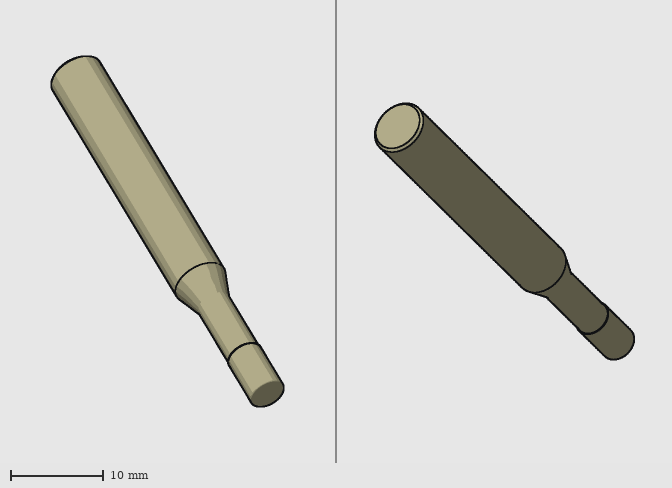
import cadquery as cq

total_length = 50.0
shank_radius = 3.0
shank_chamfer = 0.3
neck_radius = 1.9
tip_radius = 2.0
tip_length = 6.0
tip_corner_radius = 0.2
neck_length = 8.0
taper_length = 3.45

tip_start = total_length - tip_length
neck_start = tip_start - neck_length
taper_start = neck_start - taper_length

profile = (
    cq.Workplane("XY")
    .moveTo(0, 0)
    .lineTo(0, shank_radius)
    .lineTo(taper_start, shank_radius)
    .lineTo(neck_start, neck_radius)
    .lineTo(tip_start, neck_radius)
    .lineTo(tip_start, tip_radius)
    .lineTo(total_length, tip_radius)
    .lineTo(total_length, 0)
    .close()
)
body = profile.revolve(360, (0, 0, 0), (1, 0, 0))

body = body.faces("<X").edges().chamfer(shank_chamfer)
result = body.faces(">X").edges().fillet(tip_corner_radius)